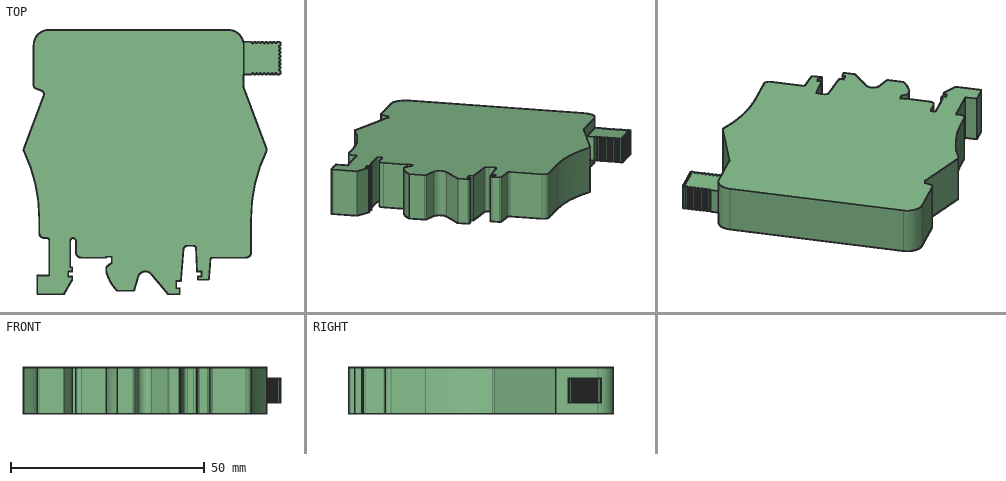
import cadquery as cq
import math


thickness = 12.0
height = 68.5
tip_half_width = 31.55

head_left = -28.9
head_right = 25.5
head_radius = 4.0
side_tip_y = 37.4
flank_angle = 20.5
waist_half_width = 27.45
waist_y = 19.8
ledge_y = 53.5
ledge_radius = 1.0
tip_radius = 0.6

base_y = 9.5
base_radius = 1.45
relief_radius = 0.5

foot_outer = -27.95
foot_top = 4.95
foot_toe = -21.05
foot_corner_radius = 0.4
toe_radius = 0.3
leg_outer = -24.85
leg_inner = -19.35
leg_top = 14.56
heel_y = 3.8
snap_lip = 0.48
snap_groove = 0.5
snap_lip_top = 7.1
snap_groove_top = 5.93
snap_groove_bottom = 4.7
spring_slot_right = -17.95
spring_slot_arc_y = leg_top - (spring_slot_right - leg_inner) / 2

nose_notch_x = -8.65
nose_notch_rise = 0.25
nose_left = -10.08
nose_step_y = 8.25
nose_shoulder_y = 7.1
nose_arc_top = 5.86
nose_arc_mid = (-8.75, 2.8)
nose_bottom_y = 0.92
nose_bottom_left = -7.25
nose_bottom_right = -2.85
nose_radius = 0.5

valley_apex = (-0.8, 8.05)
valley_radius = 1.95

middle_foot_left = 5.95
middle_foot_right = 8.95
middle_foot_radius = 0.35
middle_groove_x = 8.1
middle_groove_bottom = 1.64
middle_groove_top = 3.45
middle_foot_neck = 9.27

slot_top = 12.6
slot_top_left = 10.02
slot_top_right = 13.1
slot_left_radius = 1.0
slot_right_radius = 0.7
hook_bottom = 3.75
hook_bottom_left = 13.55
hook_bottom_right = 16.52
hook_root = 16.95
hook_radius = 0.5
hook_groove_x = 14.54
hook_groove_mouth = 13.38

tab_end = 35.03
tab_width = 8.55
tab_center_y = 61.15
tab_thickness = 6.4
tab_overlap = 1.0
tab_chamfer = 0.3
knurl_pitch = 1.0
knurl_count = 7
knurl_width = 0.75
knurl_depth = 0.45
knurl_end_offset = 1.2


def right_flank_top():
    """Y where the right upper flank, rising from its side tip, meets the head."""
    return side_tip_y + (tip_half_width - head_right) / math.tan(math.radians(flank_angle))


def ledge_inner_corner():
    """Meeting point of the left flank and the ledge square to it."""
    slope = math.tan(math.radians(flank_angle))
    x_at_ledge_y = slope * (ledge_y - side_tip_y) - tip_half_width
    x = (x_at_ledge_y + slope**2 * head_left) / (1 + slope**2)
    return (x, ledge_y - slope * (x - head_left))


def flank_arc_middle(side):
    """Middle point of a lower flank arc, which is tangent to the waist."""
    run = tip_half_width - waist_half_width
    drop = side_tip_y - waist_y
    radius = (run**2 + drop**2) / (2 * run)
    half_angle = math.asin(drop / radius) / 2
    x = waist_half_width + radius * (1 - math.cos(half_angle))
    return (side * x, waist_y + radius * math.sin(half_angle))


def left_foot_points():
    """From the waist down round the left foot and up to the spring slot end."""
    lip_x = leg_inner + snap_lip
    groove_x = leg_inner - snap_groove
    return [
        (-waist_half_width, leg_top),
        (leg_outer, leg_top),
        (leg_outer, foot_top),
        (foot_outer, foot_top),
        (foot_outer, 0),
        (foot_toe, 0),
        (lip_x, heel_y),
        (lip_x, snap_groove_bottom),
        (groove_x, snap_groove_bottom),
        (groove_x, snap_groove_top),
        (lip_x, snap_groove_top),
        (lip_x, snap_lip_top),
        (leg_inner, snap_lip_top),
        (leg_inner, spring_slot_arc_y),
    ]


def nose_top_points():
    """Undercut between the lower edge of the body and the nose."""
    return [
        (spring_slot_right, base_y),
        (nose_left, base_y),
        (nose_left, base_y + nose_notch_rise),
        (nose_notch_x, base_y + nose_notch_rise),
        (nose_notch_x, nose_step_y),
        (nose_left, nose_shoulder_y),
        (nose_left, nose_arc_top),
    ]


def right_side_points():
    """From the underside of the nose through the middle foot and hook to the waist."""
    return [
        (nose_bottom_right, nose_bottom_y),
        valley_apex,
        (middle_foot_left, 0),
        (middle_foot_right, 0),
        (middle_foot_right, middle_groove_bottom),
        (middle_groove_x, middle_groove_bottom),
        (middle_groove_x, middle_groove_top),
        (middle_foot_neck, middle_groove_top),
        (slot_top_left, slot_top),
        (slot_top_right, slot_top),
        (hook_groove_mouth, snap_groove_top),
        (hook_groove_x, snap_groove_top),
        (hook_groove_x, snap_groove_bottom),
        (hook_bottom_left, snap_groove_bottom),
        (hook_bottom_left, hook_bottom),
        (hook_bottom_right, hook_bottom),
        (hook_root, base_y),
        (waist_half_width, base_y),
        (waist_half_width, waist_y),
    ]


def add_lines(sketch, points):
    """Continue the outline with straight lines through the points."""
    for point in points:
        sketch = sketch.lineTo(*point)
    return sketch


def round_corners(body, radius, corners):
    """Fillet the upright edges that stand on the given outline corners."""
    for x, y in corners:
        edge = cq.selectors.NearestToPointSelector((x, y, thickness / 2))
        body = body.edges("|Z").edges(edge).fillet(radius)
    return body


def make_housing():
    """Extruded outline with all its upright corners rounded."""
    left_tip = (-tip_half_width, side_tip_y)
    right_tip = (tip_half_width, side_tip_y)
    ledge_inner = ledge_inner_corner()

    sketch = cq.Workplane("XY").moveTo(head_left, height)
    sketch = add_lines(sketch, [(head_left, ledge_y), ledge_inner, left_tip])
    sketch = sketch.threePointArc(flank_arc_middle(-1), (-waist_half_width, waist_y))
    sketch = add_lines(sketch, left_foot_points())
    sketch = sketch.threePointArc(
        ((leg_inner + spring_slot_right) / 2, leg_top),
        (spring_slot_right, spring_slot_arc_y),
    )
    sketch = add_lines(sketch, nose_top_points())
    sketch = sketch.threePointArc(nose_arc_mid, (nose_bottom_left, nose_bottom_y))
    sketch = add_lines(sketch, right_side_points())
    sketch = sketch.threePointArc(flank_arc_middle(1), right_tip)
    sketch = add_lines(sketch, [(head_right, right_flank_top()), (head_right, height)])
    body = sketch.close().extrude(thickness)

    body = round_corners(body, head_radius, [(head_left, height), (head_right, height)])
    body = round_corners(body, ledge_radius, [(head_left, ledge_y), ledge_inner])
    body = round_corners(body, tip_radius, [left_tip, right_tip])
    body = round_corners(body, base_radius, [
        (-waist_half_width, leg_top),
        (spring_slot_right, base_y),
        (waist_half_width, base_y),
    ])
    body = round_corners(body, relief_radius, [(leg_outer, leg_top), (hook_root, base_y)])
    body = round_corners(body, foot_corner_radius, [(foot_outer, 0)])
    body = round_corners(body, toe_radius, [(foot_toe, 0), (middle_foot_left, 0)])
    body = round_corners(body, nose_radius, [
        (nose_notch_x, nose_step_y),
        (nose_left, nose_shoulder_y),
        (nose_bottom_right, nose_bottom_y),
    ])
    body = round_corners(body, valley_radius, [valley_apex])
    body = round_corners(body, middle_foot_radius, [(middle_foot_right, 0)])
    body = round_corners(body, slot_left_radius, [(slot_top_left, slot_top)])
    body = round_corners(body, slot_right_radius, [(slot_top_right, slot_top)])
    return round_corners(body, hook_radius, [
        (hook_bottom_left, hook_bottom),
        (hook_bottom_right, hook_bottom),
    ])


def knurl_groove(x, y, angle):
    """Upright V groove with its mouth at (x, y), opening along the given angle."""
    groove = (
        cq.Workplane("XY")
        .polyline([
            (-knurl_depth, 0),
            (0, knurl_width / 2),
            (0, -knurl_width / 2),
        ])
        .close()
        .extrude(thickness)
    )
    return groove.rotate((0, 0, 0), (0, 0, 1), angle).translate((x, y, 0))


def make_tab():
    """Tab with V grooves along its two sides and its end."""
    tab_start = head_right - tab_overlap
    half_width = tab_width / 2
    tab = (
        cq.Workplane("XY", origin=(0, 0, (thickness - tab_thickness) / 2))
        .center((tab_start + tab_end) / 2, tab_center_y)
        .rect(tab_end - tab_start, tab_width)
        .extrude(tab_thickness)
        .edges("|Z and >X")
        .chamfer(tab_chamfer)
    )
    for i in range(knurl_count):
        side_x = tab_end - knurl_end_offset - i * knurl_pitch
        end_y = tab_center_y + (i - (knurl_count - 1) / 2) * knurl_pitch
        tab = tab.cut(knurl_groove(side_x, tab_center_y + half_width, 90))
        tab = tab.cut(knurl_groove(side_x, tab_center_y - half_width, -90))
        tab = tab.cut(knurl_groove(tab_end, end_y, 0))
    return tab


result = make_housing().union(make_tab())